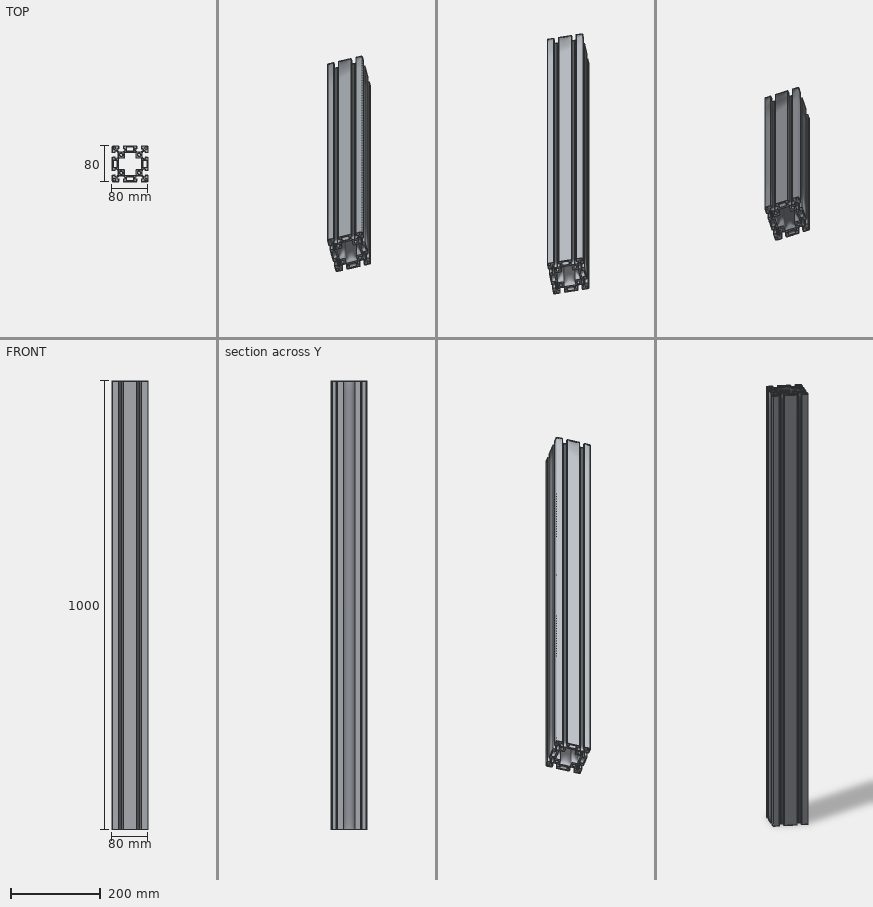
import cadquery as cq

length = 1000.0
side = 80.0
half_side = side / 2
corner_radius = 2.8

slot_offset = side / 4
slot_opening = 10.0
slot_cavity_width = 18.0
slot_floor_width = 10.0
slot_floor_radius = 2.0
lip_tip_thickness = 6.2
lip_root_thickness = 7.0
cavity_wall_depth = 9.4
slot_depth = 13.4
mouth_bevel_width = 0.6
mouth_bevel_depth = 3.0
groove_width = 1.0
groove_depth = 0.4

core_bore_diameter = 6.8
corner_bore_offset = 35.5
corner_bore_diameter = 5.0

cavity_reach = 25.5
cavity_half_width = 13.0
cavity_radius = 1.0

chamber_outer = 37.5
chamber_inner = 29.0
chamber_width = 16.0
chamber_radius = 1.0


def bar(width, depth):
    return cq.Workplane("XY").rect(width, depth).extrude(length)


def prism(points):
    return cq.Workplane("XY").polyline(points).close().extrude(length)


def mirrored_prism(right_points, center):
    """Prism symmetric about x = center, from the points of its right half."""
    right = [(center + x, y) for x, y in right_points]
    left = [(center - x, y) for x, y in reversed(right_points)]
    return prism(right + left)


def around_four_sides(shape):
    pattern = shape
    for turn in (90, 180, 270):
        pattern = pattern.union(shape.rotate((0, 0, 0), (0, 0, 1), turn))
    return pattern


def t_slot(center):
    """One T-slot opening toward +Y: bevelled mouth, tapered cavity and floor groove."""
    mouth = slot_opening / 2
    cavity = slot_cavity_width / 2
    lip_tip = half_side - lip_tip_thickness
    floor = half_side - slot_depth

    opening_points = [
        (mouth + mouth_bevel_width, half_side),
        (mouth, half_side - mouth_bevel_depth),
        (mouth, lip_tip),
    ]
    cavity_points = [
        (mouth, lip_tip),
        (cavity, half_side - lip_root_thickness),
        (cavity, half_side - cavity_wall_depth),
        (slot_floor_width / 2, floor),
    ]
    groove_points = [
        (center - groove_width / 2, floor),
        (center + groove_width / 2, floor),
        (center, floor - groove_depth),
    ]
    slot = mirrored_prism(cavity_points, center)
    slot = slot.edges("|Z").edges("<Y").fillet(slot_floor_radius)
    return slot.union(mirrored_prism(opening_points, center)).union(prism(groove_points))


def side_chamber():
    center = (chamber_outer + chamber_inner) / 2
    chamber = bar(chamber_width, chamber_outer - chamber_inner)
    return chamber.edges("|Z").fillet(chamber_radius).translate((0, center, 0))


def central_cavity():
    reach = 2 * cavity_reach
    width = 2 * cavity_half_width
    return bar(reach, width).union(bar(width, reach)).edges("|Z").fillet(cavity_radius)


def diagonal_bores(offset, diameter):
    bore = cq.Workplane("XY").center(offset, offset).circle(diameter / 2).extrude(length)
    return around_four_sides(bore)


result = (
    bar(side, side)
    .edges("|Z")
    .fillet(corner_radius)
    .cut(around_four_sides(t_slot(-slot_offset).union(t_slot(slot_offset))))
    .cut(around_four_sides(side_chamber()))
    .cut(central_cavity())
    .cut(diagonal_bores(slot_offset, core_bore_diameter))
    .cut(diagonal_bores(corner_bore_offset, corner_bore_diameter))
)